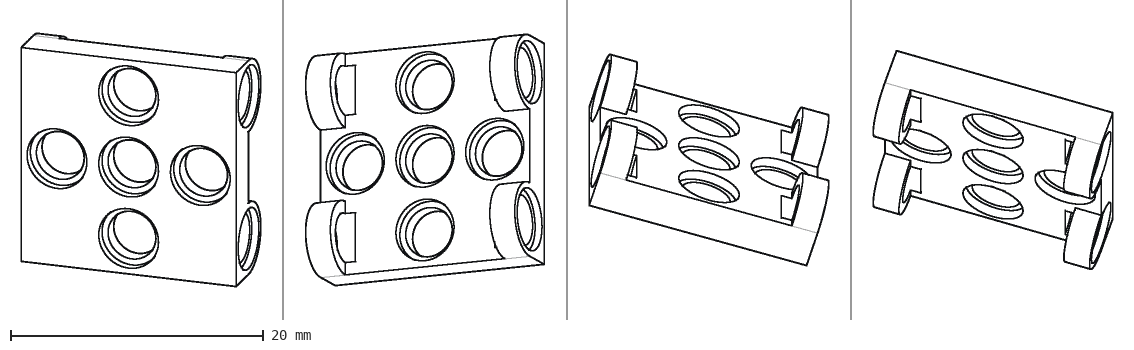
import cadquery as cq

side = 18.0
hole_offset = side / 3
plate_thickness = side / 6
lug_radius = plate_thickness
lug_width = 2.15
hole_diameter = 4.0
recess_diameter = 5.0
plate_recess_depth = 0.8
lug_recess_depth = 0.6
lug_bore_depth = 3.0

front_y = -plate_thickness


def cylinder_along(axis, start, diameter, length):
    """Solid cylinder from a start point along an axis vector."""
    return cq.Workplane(obj=cq.Solid.makeCylinder(
        diameter / 2, length, cq.Vector(*start), cq.Vector(*axis)
    ))


def plate():
    """Square plate with plain edges."""
    return cq.Workplane("XY").box(side, plate_thickness, side).translate((0, front_y / 2, 0))


def plate_hole(x, z):
    """Through hole with a shallow recess at both faces of the plate."""
    bore = cylinder_along((0, 1, 0), (x, front_y, z), hole_diameter, plate_thickness)
    front_recess = cylinder_along((0, 1, 0), (x, front_y, z), recess_diameter, plate_recess_depth)
    back_recess = cylinder_along((0, -1, 0), (x, 0, z), recess_diameter, plate_recess_depth)
    return bore.union(front_recess).union(back_recess)


def lug(x_side, z):
    """Round lug centred on the back edge of the plate, flush with one side."""
    return cylinder_along((-x_side, 0, 0), (x_side * side / 2, 0, z), 2 * lug_radius, lug_width)


def lug_hole(x_side, z):
    """Recessed hole through the lug, continuing as a blind half-round groove in the plate's back."""
    start = (x_side * side / 2, 0, z)
    inward = (-x_side, 0, 0)
    bore = cylinder_along(inward, start, hole_diameter, lug_bore_depth)
    recess = cylinder_along(inward, start, recess_diameter, lug_recess_depth)
    return bore.union(recess)


lug_places = [(x_side, z) for x_side in (-1, 1) for z in (-hole_offset, hole_offset)]
plate_hole_places = [
    (0, 0),
    (-hole_offset, 0),
    (hole_offset, 0),
    (0, -hole_offset),
    (0, hole_offset),
]

result = plate()
for x_side, z in lug_places:
    result = result.union(lug(x_side, z))
for x_side, z in lug_places:
    result = result.cut(lug_hole(x_side, z))
for x, z in plate_hole_places:
    result = result.cut(plate_hole(x, z))